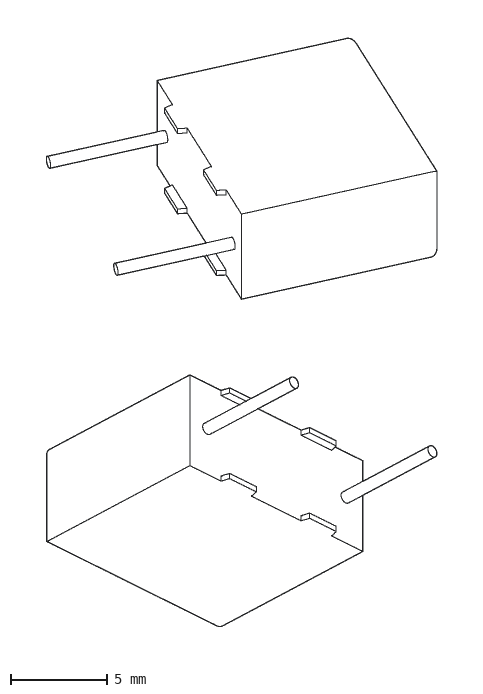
import cadquery as cq


CASE_WIDTH = 12.5
CASE_HEIGHT = 5.5
OVERALL_LENGTH = 17.5
LEAD_LENGTH = 6.5
CASE_LENGTH = OVERALL_LENGTH - LEAD_LENGTH
BACK_FILLET = 0.5

TAB_LENGTH = 0.49
TAB_THICKNESS = 0.32
TAB_BASE_WIDTH = 2.2
TAB_TIP_WIDTH = 1.92
TAB_SPACING = 5.78

LEAD_DIAMETER = 0.65
LEAD_SPACING = 10.0


def make_tab(center_x, bottom_z):
    """Tapered tab that stands out from the front face, narrower at its tip."""
    return (
        cq.Workplane("XY", origin=(center_x, 0, bottom_z))
        .moveTo(-TAB_BASE_WIDTH / 2, 0)
        .lineTo(-TAB_TIP_WIDTH / 2, -TAB_LENGTH)
        .lineTo(TAB_TIP_WIDTH / 2, -TAB_LENGTH)
        .lineTo(TAB_BASE_WIDTH / 2, 0)
        .close()
        .extrude(TAB_THICKNESS)
    )


def make_case():
    """Block rounded around its back face, with two tabs along each long front edge."""
    case = (
        cq.Workplane("XY")
        .box(CASE_WIDTH, CASE_LENGTH, CASE_HEIGHT, centered=(True, False, True))
        .faces(">Y")
        .edges()
        .fillet(BACK_FILLET)
    )
    lower_tab_z = -CASE_HEIGHT / 2
    upper_tab_z = CASE_HEIGHT / 2 - TAB_THICKNESS
    for center_x in (-TAB_SPACING / 2, TAB_SPACING / 2):
        for bottom_z in (lower_tab_z, upper_tab_z):
            case = case.union(make_tab(center_x, bottom_z))
    return case


def make_lead(center_x):
    """Round wire that starts on the front face and runs toward -Y."""
    return (
        cq.Workplane("XZ", origin=(center_x, 0, 0))
        .circle(LEAD_DIAMETER / 2)
        .extrude(LEAD_LENGTH)
    )


case = make_case()
leads = [make_lead(center_x) for center_x in (-LEAD_SPACING / 2, LEAD_SPACING / 2)]

result = cq.Compound.makeCompound([case.val(), *[lead.val() for lead in leads]])